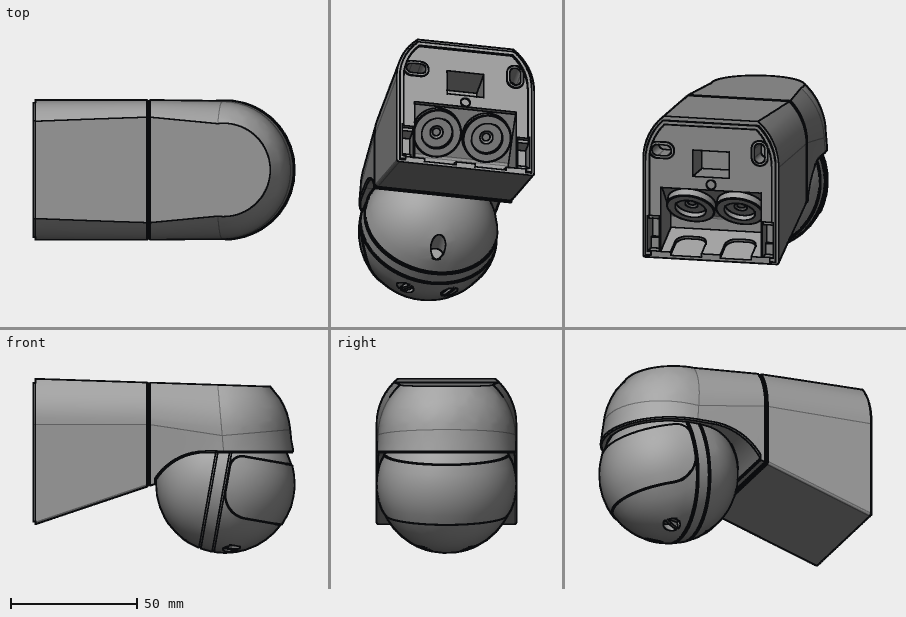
import cadquery as cq
import math


overall_length = 103.6
overall_width = 55.4
half_width = overall_width / 2
back_x = 0.9
top_back_z = 69.0
top_slope = math.radians(1.9)
floor_back_z = 11.4
floor_slope = math.radians(18.6)
shoulder_z = 51.0
shoulder_radius = 23.4
floor_edge_fillet = 0.9
seam_start_x = 45.5
seam_end_x = 46.0
seam_depth = 0.6
seam_chamfer = 0.4
margin = 10.4

rib_side_inset = 1.1
rib_top_inset = 1.7
rib_bottom_inset = 1.0
rib_width = 1.6
rib_foot_y = 24.3

slot_length = 7.9
slot_width = 4.3
slot_depth = 10.4
slot_rim_width = 1.1
slot_rim_height = 0.5
slot_y = 20.0
level_slot_z = 55.2
upright_slot_z = 56.1
window_width = 14.8
window_height = 10.7
window_z = 50.5
window_depth = 14.5
pin_hole_radius = 1.9
pin_hole_z = 42.1
pin_hole_depth = 0.5

latch_inner_y = 21.0
latch_outer_y = 25.7
latch_bottom_z = 14.1
latch_ledge_z = 18.4
latch_top_z = 28.4
latch_depth = 7.2
latch_ledge_depth = 5.2
latch_step_depth = 1.6
latch_step_height = 1.5

chamber_half_width = 20.5
chamber_top_z = 40.0
chamber_floor_z = 14.0
chamber_end_x = 17.2
chamber_floor_slope = math.radians(21.0)
chamber_corner_z = 25.5
chamber_corner_fillet = 1.6
knockout_y = 10.1
knockout_width = 12.6
knockout_length = 11.8
knockout_corner_radius = 4.3
knockout_depth = 1.2

grommet_y = 10.0
grommet_z = 32.7
grommet_radius = 9.6
grommet_height = 3.3
grommet_edge = 0.3
grommet_recess_radius = 6.2
grommet_recess_depth = 2.2
grommet_bore_radius = 2.6
grommet_bore_depth = 0.6
grommet_tip_radius = 1.6

nose_axis_x = 75.3
nose_tilt = 5.0
nose_skirt = 3.1
nose_shoulder_height = 6.8
nose_shoulder_width = 27.1
nose_radius = 27.2
hood_rim_z = 39.8
arch_centre_x = 68.2
arch_radius = 23.3
arch_foot_x = 48.2
rim_chamfer = 0.6

lens_radius = 27.7
ball_radius = 27.3
ball_x = overall_length - lens_radius
ball_tilt = 10.0
groove_spacing = 5.4
groove_width = 0.8
groove_depth = 0.4
lens_thickness = 1.9
lens_gap = 0.3
lens_half_height = 11.9
lens_back_x = 0.8
lens_upper_radius = 4.7
lens_lower_radius = 9.3
dial_x = 6.9
dial_y = 8.9
dial_radius = 3.3
dial_floor_z = -23.3
dial_bar_width = 1.0
dial_bar_angle = 30.0
rear_hole_z = -21.9
rear_hole_radius = 2.9
rear_hole_floor_x = -11.4


def shoulder_point(width, start_height, radius, height):
    """Half-section point at a height on a shoulder arc that starts vertical."""
    rise = height - start_height
    return (width - radius + math.sqrt(radius ** 2 - rise ** 2), height)


def shoulder_section(plane, base_width, width, start_height, radius, bottom, top):
    """Closed wire: flat bottom, straight sides, an arc at each shoulder, flat top."""
    corner_y, corner_z = shoulder_point(width, start_height, radius, top)
    middle_y, middle_z = shoulder_point(width, start_height, radius, (start_height + top) / 2)
    return (
        cq.Workplane(plane)
        .moveTo(-base_width, bottom)
        .lineTo(base_width, bottom)
        .lineTo(width, start_height)
        .threePointArc((middle_y, middle_z), (corner_y, corner_z))
        .lineTo(-corner_y, corner_z)
        .threePointArc((-middle_y, middle_z), (-width, start_height))
        .close()
    )


def cross_plane(x):
    """Plane facing +X whose local axes are Y and Z."""
    return cq.Plane(origin=(x, 0, 0), xDir=(0, 1, 0), normal=(1, 0, 0))


def side_prism(outline, half_depth):
    """Extrude an outline in the XZ plane equally to both sides of Y = 0."""
    return outline.extrude(half_depth, both=True)


def top_z(x):
    return top_back_z - (x - back_x) * math.tan(top_slope)


def floor_z(x):
    return floor_back_z + (x - back_x) * math.tan(floor_slope)


def main_section(x, side_inset=0.0, bottom=0.0, top=top_back_z):
    """Housing outline at x, with sides and shoulders moved inwards by an inset."""
    width = half_width - side_inset
    return shoulder_section(
        cross_plane(x), width, width, shoulder_z, shoulder_radius - side_inset, bottom, top
    )


def housing_piece(start_x, end_x, inset=0.0):
    """Stretch of the housing between two X positions, moved inwards by an inset on every side."""
    envelope = main_section(start_x, inset).extrude(end_x - start_x)
    trim = side_prism(
        cq.Workplane("XZ").polyline([
            (start_x, floor_z(start_x) + inset),
            (end_x, floor_z(end_x) + inset),
            (end_x, top_z(end_x) - inset),
            (start_x, top_z(start_x) - inset),
        ]).close(),
        half_width + margin,
    )
    return envelope.intersect(trim)


def housing_block():
    """Housing with rounded floor edges and a chamfer at the seam."""
    block = housing_piece(back_x, seam_start_x)
    block = block.faces("<Z").edges("#Y").fillet(floor_edge_fillet)
    return block.faces(">X").edges().chamfer(seam_chamfer)


def seam_neck():
    """Slightly smaller neck that bridges the groove between housing and hood."""
    return housing_piece(seam_start_x, seam_end_x, seam_depth)


def rear_rib():
    """Raised rib around the rear face, open along the bottom."""
    def outline(inset):
        bottom = floor_back_z + rib_bottom_inset + inset
        top = top_back_z - rib_top_inset - inset
        return main_section(0, rib_side_inset + inset, bottom, top).extrude(back_x)

    bottom_gap = cq.Workplane("XY").box(margin, 2 * rib_foot_y, margin).translate((0, 0, floor_back_z))
    return outline(0).cut(outline(rib_width)).cut(bottom_gap)


def slot_prism(y, z, angle, growth, start_x, depth):
    plane = cq.Plane(origin=(start_x, y, z), xDir=(0, 1, 0), normal=(1, 0, 0))
    return (
        cq.Workplane(plane)
        .slot2D(slot_length + 2 * growth, slot_width + 2 * growth, angle)
        .extrude(depth)
    )


def add_mounting_slots(body):
    """One level and one upright screw slot, each with a low raised rim."""
    for y, z, angle in ((slot_y, level_slot_z, 0), (-slot_y, upright_slot_z, 90)):
        rim_x = back_x - slot_rim_height
        body = body.union(slot_prism(y, z, angle, slot_rim_width, rim_x, slot_rim_height))
        body = body.cut(slot_prism(y, z, angle, 0, 0, back_x + slot_depth))
    return body


def chamber():
    """Cable chamber with a 45 degree ceiling and a floor that rises away from the rear."""
    floor_rise = (chamber_end_x - back_x) * math.tan(chamber_floor_slope)
    ceiling_start_x = chamber_end_x - (chamber_top_z - chamber_corner_z)
    cavity = side_prism(
        cq.Workplane("XZ").polyline([
            (back_x, chamber_floor_z),
            (chamber_end_x, chamber_floor_z + floor_rise),
            (chamber_end_x, chamber_corner_z),
            (ceiling_start_x, chamber_top_z),
            (back_x, chamber_top_z),
        ]).close(),
        chamber_half_width,
    )
    corner = cq.selectors.NearestToPointSelector((chamber_end_x, 0, chamber_corner_z))
    return cavity.edges("|Y").edges(corner).fillet(chamber_corner_fillet)


def knockout(y):
    """Recess in the chamber floor with a rounded far end, open towards the rear."""
    return (
        cq.Workplane("XY")
        .box(2 * knockout_length, knockout_width, 2 * knockout_depth)
        .edges("|Z").fillet(knockout_corner_radius)
        .rotate((0, 0, 0), (0, 1, 0), -math.degrees(chamber_floor_slope))
        .translate((back_x, y, chamber_floor_z))
    )


def latch_pocket(side):
    """Snap pocket with a shallow step at the top and a ledge at the bottom."""
    end_x = back_x + latch_depth
    step_x = back_x + latch_step_depth
    ledge_x = back_x + latch_ledge_depth
    return (
        cq.Workplane("XZ", origin=(0, side * latch_inner_y, 0))
        .polyline([
            (0, latch_bottom_z),
            (ledge_x, latch_bottom_z),
            (ledge_x, latch_ledge_z),
            (end_x, latch_ledge_z),
            (end_x, latch_top_z - latch_step_height),
            (step_x, latch_top_z - latch_step_height),
            (step_x, latch_top_z),
            (0, latch_top_z),
        ])
        .close()
        .extrude(-side * (latch_outer_y - latch_inner_y))
    )


def make_housing():
    body = housing_block().union(seam_neck()).union(rear_rib())
    body = add_mounting_slots(body)
    window = cq.Workplane(cross_plane(back_x)).center(0, window_z).rect(window_width, window_height)
    body = body.cut(window.extrude(window_depth))
    pin_hole = cq.Workplane(cross_plane(back_x)).center(0, pin_hole_z).circle(pin_hole_radius)
    body = body.cut(pin_hole.extrude(pin_hole_depth))
    body = body.cut(chamber())
    for side in (-1, 1):
        body = body.cut(knockout(side * knockout_y))
        body = body.cut(latch_pocket(side))
    return body


def make_grommet(y):
    """Cable grommet on the 45 degree ceiling of the chamber."""
    seat_x = chamber_end_x - (grommet_z - chamber_corner_z)
    seat = cq.Plane(origin=(seat_x, y, grommet_z), xDir=(0, 1, 0), normal=(-1, 0, -1))
    disc = cq.Workplane(seat).circle(grommet_radius).extrude(grommet_height)
    disc = disc.faces(cq.selectors.DirectionMinMaxSelector(seat.zDir, True)).edges().chamfer(grommet_edge)
    recess_floor = grommet_height - grommet_recess_depth
    recess = (
        cq.Workplane(seat).workplane(offset=recess_floor)
        .circle(grommet_recess_radius).extrude(grommet_recess_depth)
    )
    bore = (
        cq.Workplane(seat).workplane(offset=recess_floor - grommet_bore_depth)
        .circle(grommet_tip_radius)
        .workplane(offset=grommet_bore_depth).circle(grommet_bore_radius)
        .loft()
    )
    return disc.cut(recess).cut(bore)


def place_ball(body):
    return body.rotate((0, 0, 0), (0, 1, 0), ball_tilt).translate((ball_x, 0, ball_radius))


def lens_solid(growth=0.0):
    """Band around the front of a sphere, with a rounded end on each side and an edge grown outwards."""
    front = lens_radius + margin
    back = lens_back_x - growth
    half_height = lens_half_height + growth
    upper_radius = lens_upper_radius + growth
    lower_radius = lens_lower_radius + growth
    band = side_prism(
        cq.Workplane("XZ")
        .moveTo(front, -half_height)
        .lineTo(front, half_height)
        .lineTo(back + upper_radius, half_height)
        .radiusArc((back, half_height - upper_radius), -upper_radius)
        .lineTo(back, -half_height + lower_radius)
        .radiusArc((back + lower_radius, -half_height), -lower_radius)
        .close(),
        front,
    )
    outside = cq.Workplane("XY").sphere(lens_radius)
    inside = cq.Workplane("XY").sphere(ball_radius - lens_thickness)
    return outside.cut(inside).intersect(band)


def sphere_point(x, inset=0.0):
    """Point at x on the ball's half-profile, moved inwards by an inset."""
    return (x, math.sqrt(ball_radius ** 2 - x ** 2) - inset)


def grooved_sphere():
    """Sphere turned about the X axis, with one groove at the equator and one behind it."""
    profile = cq.Workplane("XY").moveTo(-ball_radius, 0)
    arc_start = -ball_radius
    for groove_x in (-groove_spacing, 0):
        back = groove_x - groove_width / 2
        front = groove_x + groove_width / 2
        profile = (
            profile.threePointArc(sphere_point((arc_start + back) / 2), sphere_point(back))
            .lineTo(*sphere_point(back, groove_depth))
            .lineTo(*sphere_point(front, groove_depth))
            .lineTo(*sphere_point(front))
        )
        arc_start = front
    profile = profile.threePointArc(sphere_point((arc_start + ball_radius) / 2), (ball_radius, 0))
    return profile.close().revolve(360, (0, 0), (1, 0))


def dial_recess(side):
    """Round recess under the ball with a diagonal grip bar left standing."""
    recess = cq.Workplane("XY").circle(dial_radius).extrude(-margin)
    bar = cq.Workplane("XY").rect(3 * dial_radius, dial_bar_width).extrude(-margin)
    bar = bar.rotate((0, 0, 0), (0, 0, 1), dial_bar_angle)
    return recess.cut(bar).translate((dial_x, side * dial_y, dial_floor_z))


def make_ball():
    ball = grooved_sphere().cut(lens_solid(lens_gap))
    for side in (-1, 1):
        ball = ball.cut(dial_recess(side))
    rear_hole = cq.Workplane(cross_plane(rear_hole_floor_x)).center(0, rear_hole_z).circle(rear_hole_radius)
    ball = ball.cut(rear_hole.extrude(-ball_radius))
    return place_ball(ball)


def hood_envelope():
    """Loft from the seam to the tilted nose section, closed by half a turn about the nose axis."""
    tilt = math.radians(nose_tilt)
    nose_plane = cq.Plane(
        origin=(nose_axis_x, 0, hood_rim_z),
        xDir=(0, 1, 0),
        normal=(math.cos(tilt), 0, math.sin(tilt)),
    )
    nose_top = top_back_z - hood_rim_z
    nose = shoulder_section(
        nose_plane, half_width, nose_shoulder_width, nose_shoulder_height, nose_radius, -nose_skirt, nose_top
    )
    seam = main_section(seam_end_x)
    arm = cq.Workplane(cq.Solid.makeLoft([seam.wires().val(), nose.wires().val()], True))
    middle_height = (nose_shoulder_height + nose_top) / 2
    middle = shoulder_point(nose_shoulder_width, nose_shoulder_height, nose_radius, middle_height)
    corner = shoulder_point(nose_shoulder_width, nose_shoulder_height, nose_radius, nose_top)
    dome = (
        cq.Workplane(nose_plane)
        .moveTo(0, -nose_skirt)
        .lineTo(half_width, -nose_skirt)
        .lineTo(nose_shoulder_width, nose_shoulder_height)
        .threePointArc(middle, corner)
        .lineTo(0, nose_top)
        .close()
        .revolve(180, (0, 0), (0, -1))
    )
    return arm.union(dome)


def make_hood():
    arch_centre_z = hood_rim_z - arch_radius
    arch_angle = math.acos((arch_centre_x - arch_foot_x) / arch_radius)
    arch_foot_z = arch_centre_z + arch_radius * math.sin(arch_angle)
    end_x = overall_length + margin
    trim = side_prism(
        cq.Workplane("XZ")
        .moveTo(seam_end_x, floor_z(seam_end_x))
        .lineTo(arch_foot_x, floor_z(arch_foot_x))
        .lineTo(arch_foot_x, arch_foot_z)
        .radiusArc((arch_centre_x, hood_rim_z), arch_radius)
        .lineTo(end_x, hood_rim_z)
        .lineTo(end_x, top_z(end_x))
        .lineTo(seam_end_x, top_z(seam_end_x))
        .close(),
        half_width + margin,
    )
    hood = hood_envelope().intersect(trim)
    hood = hood.faces("<X").edges().chamfer(seam_chamfer)
    hood = hood.faces("-Z or %CYLINDER").edges("not |Y").chamfer(rim_chamfer)
    ball_seat = cq.Workplane("XY").sphere(lens_radius)
    return hood.cut(place_ball(ball_seat))


housing = make_housing()
hood = make_hood()
grommets = [make_grommet(side * grommet_y) for side in (-1, 1)]
ball = make_ball()
lens = place_ball(lens_solid())

result = cq.Compound.makeCompound([
    housing.val(),
    hood.val(),
    *[grommet.val() for grommet in grommets],
    ball.val(),
    lens.val(),
])